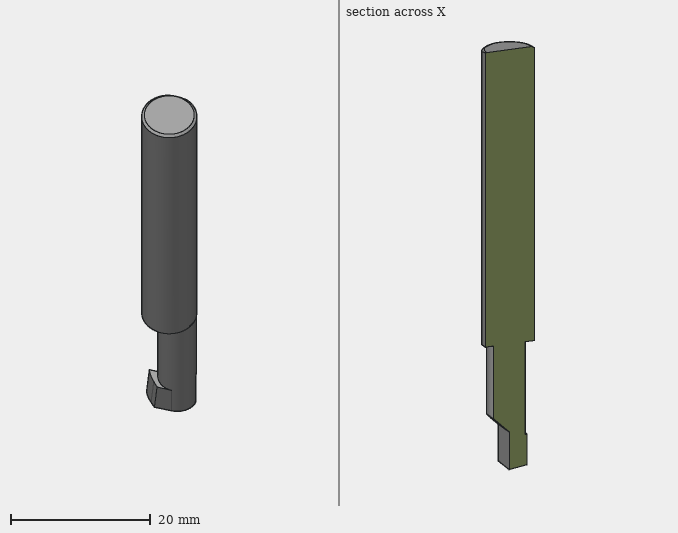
import cadquery as cq
import math

total_length = 63.49
shank_radius = 7.94 / 2
shank_width_over_flat = 7.68
shank_end_z = 19.05
chamfer_radial = 0.4
chamfer_axial = 0.3

neck_radius = 5.58 / 2
neck_center_x = shank_radius - neck_radius

flute_end_z = 5.8
flute_ramp_angle = 43

head_top_z = 5.15
tip_x = -3.42
side_relief_angle = 4.8
land_end_drop = 1.96
land_end_inset = 1.26
land_sagitta = 0.1
heel_inset = 2.0

end_relief_x_angle = 2
end_relief_y_angle = 7.5

overrun = 2


def tangent(degrees):
    return math.tan(math.radians(degrees))


def make_shank():
    length = total_length - shank_end_z
    shank = cq.Workplane("XY").workplane(offset=shank_end_z).circle(shank_radius).extrude(length)
    shank = shank.faces(">Z").edges().chamfer(chamfer_axial, chamfer_radial)
    flat_y = shank_width_over_flat - shank_radius
    flat_cutter = (
        cq.Workplane("XY")
        .workplane(offset=shank_end_z)
        .center(0, flat_y + shank_radius / 2)
        .rect(2 * shank_radius, shank_radius)
        .extrude(length)
    )
    return shank.cut(flat_cutter)


def make_neck():
    neck = (
        cq.Workplane("XY")
        .workplane(offset=-overrun)
        .center(neck_center_x, 0)
        .circle(neck_radius)
        .extrude(shank_end_z + overrun)
    )
    reach = neck_radius + overrun
    ramp_end_z = flute_end_z + reach * tangent(flute_ramp_angle)
    flute_outline = [
        (0, -overrun),
        (0, flute_end_z),
        (reach, ramp_end_z),
        (reach, -overrun),
    ]
    flute = cq.Workplane("YZ").polyline(flute_outline).close().extrude(2 * shank_radius, both=True)
    return neck.cut(flute)


def make_head():
    relief = tangent(side_relief_angle)
    edge_x = tip_x + head_top_z * relief
    inset_angle = math.atan2(land_end_inset, land_end_drop)
    land_end = (edge_x + land_end_inset, -land_end_drop)
    land_middle = (
        edge_x + land_end_inset / 2 - land_sagitta * math.cos(inset_angle),
        -land_end_drop / 2 - land_sagitta * math.sin(inset_angle),
    )
    section = (
        cq.Workplane("XY")
        .workplane(offset=head_top_z)
        .moveTo(edge_x, 0)
        .threePointArc(land_middle, land_end)
        .lineTo(edge_x + heel_inset, -neck_radius)
        .lineTo(neck_center_x, -neck_radius)
        .lineTo(neck_center_x, 0)
        .close()
    )
    height = head_top_z + overrun
    direction = cq.Vector(-height * relief, 0, -height)
    leaning_head = cq.Workplane(cq.Solid.extrudeLinear(section.val(), [], direction))

    block_width = height * relief
    heel_block = (
        cq.Workplane("XY")
        .workplane(offset=-overrun)
        .center(neck_center_x - block_width / 2, -neck_radius / 2)
        .rect(block_width, neck_radius)
        .extrude(height)
    )
    return leaning_head.union(heel_block)


def make_end_cutter():
    normal = (-tangent(end_relief_x_angle), tangent(end_relief_y_angle), 1)
    end_plane = cq.Plane(origin=(tip_x, 0, 0), xDir=(1, 0, tangent(end_relief_x_angle)), normal=normal)
    cutter_side = 8 * shank_radius
    return cq.Workplane(end_plane).rect(cutter_side, cutter_side).extrude(-2 * overrun)


cutting_end = make_neck().union(make_head()).cut(make_end_cutter())
result = make_shank().union(cutting_end)